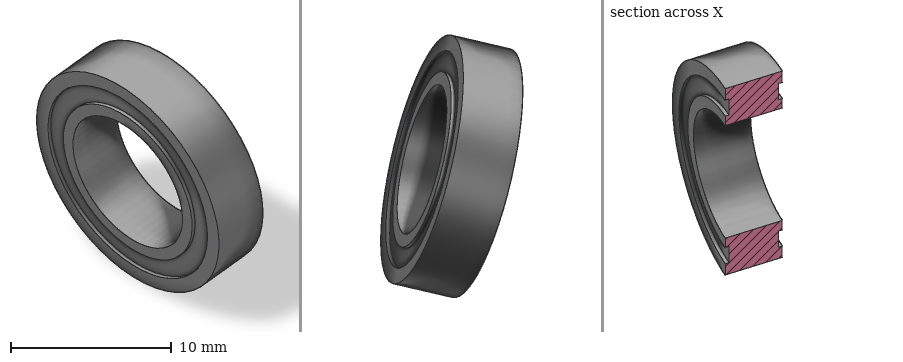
import cadquery as cq

outer_diameter = 15.875
bore_diameter = 9.525
width = 3.91

recess_outer_diameter = 13.87
recess_inner_diameter = 11.2
recess_depth = 0.254


def annulus(outside, inside, start_y, length):
    """Ring around the Y axis, running from start_y towards +Y."""
    plane = cq.Plane(origin=(0, start_y, 0), xDir=(0, 0, 1), normal=(0, 1, 0))
    return cq.Workplane(plane).circle(outside / 2).circle(inside / 2).extrude(length)


def face_recess(start_y):
    return annulus(recess_outer_diameter, recess_inner_diameter, start_y, recess_depth)


front_face_y = -width / 2
back_face_y = width / 2

body = annulus(outer_diameter, bore_diameter, front_face_y, width)
for recess_start_y in (front_face_y, back_face_y - recess_depth):
    body = body.cut(face_recess(recess_start_y))

result = body